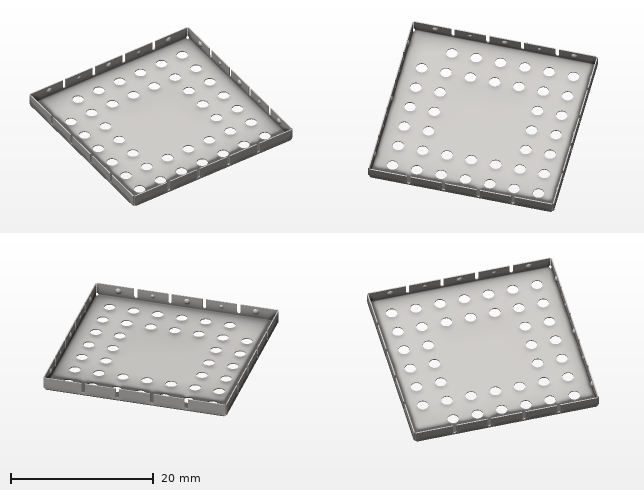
import cadquery as cq
import math

side = 26.71
height = 2.0
sheet = 0.15
inner_bend = 0.15
outer_bend = sheet + inner_bend
half_side = side / 2

corner_gap = 0.2
corner_relief_radius = 0.25
corner_relief_height = 0.2

hole_diameter = 1.6
hole_pitch = 3.5
hole_reach = 3
blank_reach = 1

slot_width = 0.5
slot_depth = 1.5
slot_pitch = 5.0
slots_per_wall = 4

bump_pitch = slot_pitch
bump_height_above_base = 1.2
large_bump_radius = 0.45
large_bump_rise = 0.25
small_bump_radius = 0.3
small_bump_rise = 0.15
bump_reach = 2


def make_floor():
    """Flat floor reaching to the start of the bends."""
    flat_side = side - 2 * outer_bend
    return cq.Workplane("XY").rect(flat_side, flat_side).extrude(sheet)


def make_bent_wall():
    """Wall on the +X side, with the bend that joins it to the floor."""
    bend_start = half_side - outer_bend
    inner_face = half_side - sheet
    length = side - 2 * corner_gap
    diagonal = math.sqrt(0.5)
    outer_middle = (bend_start + outer_bend * diagonal, outer_bend * (1 - diagonal))
    inner_middle = (bend_start + inner_bend * diagonal, outer_bend - inner_bend * diagonal)
    return (
        cq.Workplane("XZ")
        .moveTo(bend_start, 0)
        .threePointArc(outer_middle, (half_side, outer_bend))
        .lineTo(half_side, height)
        .lineTo(inner_face, height)
        .lineTo(inner_face, outer_bend)
        .threePointArc(inner_middle, (bend_start, sheet))
        .close()
        .extrude(length / 2, both=True)
    )


def make_slots():
    """Round-bottomed slots cut down from the top edge of the +X wall."""
    radius = slot_width / 2
    round_centre_z = height - slot_depth + radius
    first_y = -slot_pitch * (slots_per_wall - 1) / 2
    slots = cq.Workplane("YZ", origin=(half_side - outer_bend, 0, 0))
    for index in range(slots_per_wall):
        y = first_y + index * slot_pitch
        slots = (
            slots.moveTo(y - radius, height)
            .lineTo(y - radius, round_centre_z)
            .threePointArc((y, height - slot_depth), (y + radius, round_centre_z))
            .lineTo(y + radius, height)
            .close()
        )
    return slots.extrude(outer_bend)


def make_bump(y, radius, rise):
    """Spherical-cap bump on the inner face of the +X wall, rooted halfway into the sheet."""
    sphere_radius = (radius**2 + rise**2) / (2 * rise)
    half_angle = math.asin(radius / sphere_radius) / 2
    root_depth = sheet / 2
    crown_middle = (
        sphere_radius * (1 - math.cos(half_angle)) - rise,
        sphere_radius * math.sin(half_angle),
    )
    bump = (
        cq.Workplane("XY")
        .moveTo(root_depth, 0)
        .lineTo(-rise, 0)
        .threePointArc(crown_middle, (0, radius))
        .lineTo(root_depth, radius)
        .close()
        .revolve(360, (0, 0, 0), (1, 0, 0))
    )
    return bump.translate((half_side - sheet, y, bump_height_above_base))


def make_wall():
    """Complete +X wall."""
    wall = make_bent_wall().cut(make_slots())
    for step in range(-bump_reach, bump_reach + 1):
        is_large = step % 2 == 0
        radius = large_bump_radius if is_large else small_bump_radius
        rise = large_bump_rise if is_large else small_bump_rise
        wall = wall.union(make_bump(step * bump_pitch, radius, rise))
    return wall


def hole_centres():
    """Grid points outside the plain centre, less the (-X, -Y) corner that marks orientation."""
    steps = range(-hole_reach, hole_reach + 1)
    centres = []
    for column in steps:
        for row in steps:
            in_blank = max(abs(column), abs(row)) <= blank_reach
            is_key = column == -hole_reach and row == -hole_reach
            if not in_blank and not is_key:
                centres.append((column * hole_pitch, row * hole_pitch))
    return centres


def make_holes():
    """Round perforations through the floor."""
    return cq.Workplane("XY").pushPoints(hole_centres()).circle(hole_diameter / 2).extrude(sheet)


def make_corner_reliefs():
    """Ball-shaped cutters centred where the ends of neighbouring bends meet."""
    spacing = side - 2 * corner_gap
    return (
        cq.Workplane("XY", origin=(0, 0, corner_relief_height))
        .rect(spacing, spacing, forConstruction=True)
        .vertices()
        .sphere(corner_relief_radius)
    )


wall = make_wall()
result = make_floor()
for quarter in range(4):
    result = result.union(wall.rotate((0, 0, 0), (0, 0, 1), 90 * quarter))
result = result.cut(make_holes()).cut(make_corner_reliefs())